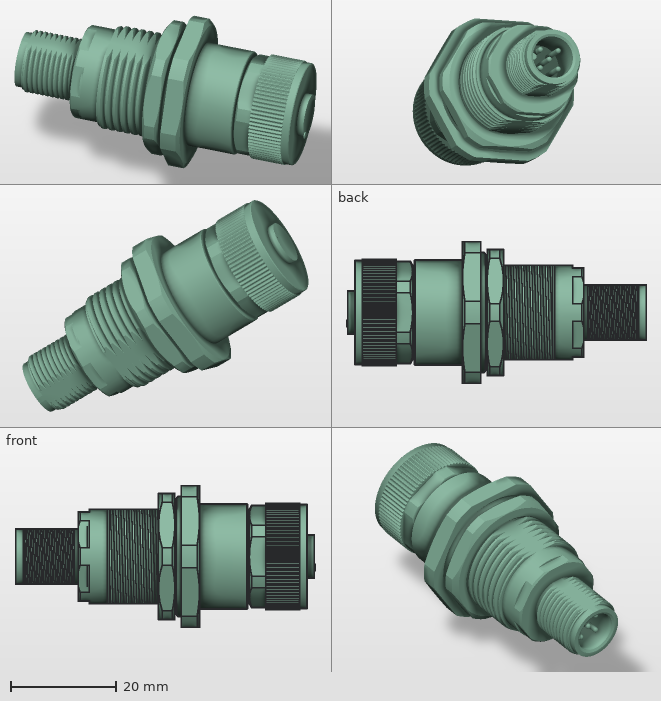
import cadquery as cq
import math

NOSE_END = 1.4
PLUG_THREAD_START = 1.7
PLUG_THREAD_END = 11.1
COLLAR_START = 11.9
COLLAR_FLATS_END = 14.0
COLLAR_END = 17.4
PANEL_THREAD_START = 17.8
NUT_START = 27.1
NUT_END = 30.3
SEAL_START = 30.55
FLANGE_START = 31.45
FLANGE_END = 35.0
BODY_END = 44.1
COUPLING_START = 44.4
KNURL_START = 47.55
KNURL_END = 54.0
COUPLING_END = 55.5
INSERT_END = 56.8
TOTAL_LENGTH = 57.0

PLUG_MAJOR_RADIUS = 6.0
PLUG_PITCH = 1.0
PLUG_THREAD_DEPTH = 0.6
PLUG_GROOVE_X = 3.0
PLUG_FLAT_HEIGHT = 5.27
NOSE_RADIUS = 5.3
PLUG_RELIEF_RADIUS = 5.65
PLUG_NECK_RADIUS = 5.37
BORE_RADIUS = 4.0
BORE_MOUTH_RADIUS = 4.45
BORE_CHAMFER = 0.3
BORE_DEPTH = 9.0
PIN_RADIUS = 0.5
PIN_TIP_X = 2.0
PIN_ROOT = 0.5
PIN_OFFSET = 1.78
KEY_RADIUS = 0.62
KEY_Y = 3.7
KEY_START = 0.9

PANEL_MAJOR_RADIUS = 10.0
PANEL_PITCH = 1.5
PANEL_THREAD_DEPTH = 0.9
PANEL_GROOVE_X = 19.53
PANEL_FLAT_HEIGHT = 9.0
THREAD_RELIEF_RADIUS = 9.7
THREAD_ANGLE = 60.0
GROOVE_OVERCUT = 0.1
COLLAR_RADIUS = 9.0
COLLAR_FLATS = 17.0
COLLAR_CHAMFER = 0.35
LEDGE_LENGTH = 0.4
LEDGE_RADIUS = 7.86
LEDGE_Y = -1.1

NUT_FLATS = 24.0
NUT_CORNER_RADIUS = 13.0
NUT_FACE_RADIUS = 11.9
NUT_FRONT_CHAMFER = 0.77
NUT_BACK_CHAMFER = 0.5
NUT_BORE_RADIUS = 9.35
NUT_MOUTH_RADIUS = 10.05
SEAL_RADIUS = 11.5
SEAL_ROUND = 0.7
GLAND_RADIUS = 12.25
GLAND_DEPTH = 0.6
FLANGE_FLATS = 27.0
FLANGE_CORNER_RADIUS = 14.53
FLANGE_FACE_RADIUS = 13.35
FLANGE_CHAMFER = 0.5

BODY_RADIUS = 10.0
BODY_CHAMFER = 0.15
COUPLING_NECK_RADIUS = 4.8
COUPLING_FLATS = 18.0
COUPLING_CORNER_RADIUS = 9.75
COUPLING_FACE_RADIUS = 8.9
COUPLING_CHAMFER = 0.5
KNURL_RADIUS = 10.1
KNURL_TEETH = 80
KNURL_DEPTH = 0.3
KNURL_LAND = 0.15
RIM_RADIUS = 9.9
RIM_CHAMFER = 0.15
INSERT_RADIUS = 4.1
MARK_RADIUS = 0.65
MARK_Y = -3.3
MARK_Z = -2.1


def section(x):
    """Work plane across the axis at x; local x is +Y, local y is +Z."""
    return cq.Workplane("YZ", origin=(x, 0, 0))


def disc(start, end, radius):
    return section(start).circle(radius).extrude(end - start)


def hexagon(start, end, flats, turn=0.0):
    """Hexagonal prism with flats facing +-Z, turned about X by `turn` degrees."""
    prism = section(start).polygon(6, flats / math.cos(math.radians(30))).extrude(end - start)
    return prism.rotate((0, 0, 0), (1, 0, 0), turn)


def turned(points):
    """Solid of revolution about X from (x, radius) points, closed along the axis."""
    outline = [(points[0][0], 0)] + points + [(points[-1][0], 0)]
    return cq.Workplane("XY").polyline(outline).close().revolve(360, (0, 0, 0), (1, 0, 0))


def flat_limits(start, end, half_height, radius):
    """Slab that leaves flats at +-Z on a round section."""
    return section(start).rect(4 * radius, 2 * half_height).extrude(end - start)


def threaded_rod(start, end, major, pitch, depth, groove_x):
    """Rod with a right-hand V groove, cut turn by turn, whose root passes (groove_x, +Y)."""
    root = major - depth
    outside = major + GROOVE_OVERCUT
    half_width = (outside - root) * math.tan(math.radians(THREAD_ANGLE / 2))
    helix = cq.Wire.makeHelix(pitch, pitch, root)
    turn = (
        cq.Workplane("XZ")
        .polyline([(root, 0), (outside, half_width), (outside, -half_width)])
        .close()
        .sweep(cq.Workplane(obj=helix), isFrenet=True)
        .rotate((0, 0, 0), (0, 1, 0), 90)
    )
    helix_start = groove_x - pitch / 4
    first_turn = math.floor((start - helix_start) / pitch) - 1
    last_turn = math.ceil((end - helix_start) / pitch)
    rod = disc(start, end, major)
    for index in range(first_turn, last_turn + 1):
        rod = rod.cut(turn.translate((helix_start + index * pitch, 0, 0)))
    return rod


def plug():
    thread = threaded_rod(
        PLUG_THREAD_START, PLUG_THREAD_END, PLUG_MAJOR_RADIUS, PLUG_PITCH, PLUG_THREAD_DEPTH, PLUG_GROOVE_X
    )
    outside = (
        disc(0, NOSE_END, NOSE_RADIUS)
        .union(disc(NOSE_END, PLUG_THREAD_START, PLUG_RELIEF_RADIUS))
        .union(thread)
        .union(disc(PLUG_THREAD_END, COLLAR_START, PLUG_NECK_RADIUS))
        .intersect(flat_limits(0, COLLAR_START, PLUG_FLAT_HEIGHT, PLUG_MAJOR_RADIUS))
    )
    bore = turned([(0, BORE_MOUTH_RADIUS), (BORE_CHAMFER, BORE_RADIUS), (BORE_DEPTH, BORE_RADIUS)])
    corners = [(y, z) for y in (-PIN_OFFSET, PIN_OFFSET) for z in (-PIN_OFFSET, PIN_OFFSET)]
    pin = disc(PIN_TIP_X + PIN_RADIUS, BORE_DEPTH + PIN_ROOT, PIN_RADIUS).union(
        cq.Workplane("XY").sphere(PIN_RADIUS).translate((PIN_TIP_X + PIN_RADIUS, 0, 0))
    )
    key = section(KEY_START).center(KEY_Y, 0).circle(KEY_RADIUS).extrude(COLLAR_START - KEY_START)
    shell = outside.cut(bore).union(key)
    for y, z in corners + [(0, 0)]:
        shell = shell.union(pin.translate((0, y, z)))
    return shell


def collar():
    drum = disc(COLLAR_START, COLLAR_END, COLLAR_RADIUS).faces("<X").chamfer(COLLAR_CHAMFER)
    hex_end = hexagon(COLLAR_START, COLLAR_FLATS_END, COLLAR_FLATS)
    outside_hex = disc(COLLAR_START, COLLAR_FLATS_END, COLLAR_RADIUS).cut(hex_end)
    ledge = disc(COLLAR_FLATS_END - LEDGE_LENGTH, COLLAR_FLATS_END, LEDGE_RADIUS).translate((0, LEDGE_Y, 0))
    return drum.cut(outside_hex).union(ledge)


def panel_thread():
    thread = threaded_rod(
        PANEL_THREAD_START, SEAL_START, PANEL_MAJOR_RADIUS, PANEL_PITCH, PANEL_THREAD_DEPTH, PANEL_GROOVE_X
    )
    return disc(COLLAR_END, PANEL_THREAD_START, THREAD_RELIEF_RADIUS).union(thread).intersect(
        flat_limits(COLLAR_END, SEAL_START, PANEL_FLAT_HEIGHT, PANEL_MAJOR_RADIUS)
    )


def nut():
    envelope = turned([
        (NUT_START, NUT_FACE_RADIUS),
        (NUT_START + NUT_FRONT_CHAMFER, NUT_CORNER_RADIUS),
        (NUT_END - NUT_BACK_CHAMFER, NUT_CORNER_RADIUS),
        (NUT_END, NUT_FACE_RADIUS),
    ])
    countersink = NUT_MOUTH_RADIUS - NUT_BORE_RADIUS
    bore = turned([
        (NUT_START, NUT_MOUTH_RADIUS),
        (NUT_START + countersink, NUT_BORE_RADIUS),
        (NUT_END, NUT_BORE_RADIUS),
    ])
    return hexagon(NUT_START, NUT_END, NUT_FLATS).intersect(envelope).cut(bore)


def seal():
    return disc(SEAL_START, FLANGE_START + GLAND_DEPTH, SEAL_RADIUS).faces("<X").edges().fillet(SEAL_ROUND)


def flange():
    envelope = turned([
        (FLANGE_START, FLANGE_CORNER_RADIUS),
        (FLANGE_END - FLANGE_CHAMFER, FLANGE_CORNER_RADIUS),
        (FLANGE_END, FLANGE_FACE_RADIUS),
    ])
    gland = disc(FLANGE_START, FLANGE_START + GLAND_DEPTH, GLAND_RADIUS)
    return hexagon(FLANGE_START, FLANGE_END, FLANGE_FLATS).intersect(envelope).cut(gland)


def body():
    return disc(FLANGE_END, BODY_END, BODY_RADIUS).faces(">X").chamfer(BODY_CHAMFER)


def coupling_hex():
    envelope = turned([
        (COUPLING_START, COUPLING_FACE_RADIUS),
        (COUPLING_START + COUPLING_CHAMFER, COUPLING_CORNER_RADIUS),
        (KNURL_START, COUPLING_CORNER_RADIUS),
    ])
    return hexagon(COUPLING_START, KNURL_START, COUPLING_FLATS, turn=30).intersect(envelope)


def knurled_ring():
    step = 2 * math.pi / KNURL_TEETH
    half_land = KNURL_LAND / 2 * step
    root = KNURL_RADIUS - KNURL_DEPTH
    outline = []
    for tooth in range(KNURL_TEETH):
        crest_angle = tooth * step
        root_angle = crest_angle + step / 2
        for radius, angle in (
            (KNURL_RADIUS, crest_angle - half_land),
            (KNURL_RADIUS, crest_angle + half_land),
            (root, root_angle - half_land),
            (root, root_angle + half_land),
        ):
            outline.append((radius * math.cos(angle), radius * math.sin(angle)))
    return section(KNURL_START).polyline(outline).close().extrude(KNURL_END - KNURL_START)


def coupling():
    neck = disc(BODY_END, COUPLING_START, COUPLING_NECK_RADIUS)
    rim = disc(KNURL_END, COUPLING_END, RIM_RADIUS).faces(">X").chamfer(RIM_CHAMFER)
    insert = disc(COUPLING_END, INSERT_END, INSERT_RADIUS)
    mark = section(INSERT_END).center(MARK_Y, MARK_Z).circle(MARK_RADIUS).extrude(TOTAL_LENGTH - INSERT_END)
    return neck.union(coupling_hex()).union(knurled_ring()).union(rim).union(insert).union(mark)


result = (
    plug()
    .union(collar())
    .union(panel_thread())
    .union(nut())
    .union(flange())
    .union(seal())
    .union(body())
    .union(coupling())
)